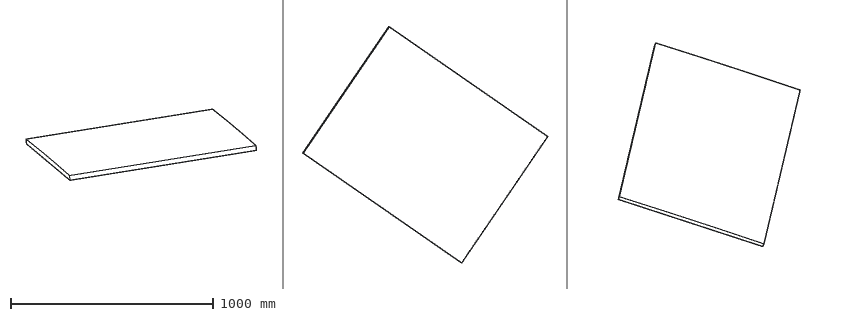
import cadquery as cq
import math

length_y = 965.0
width = 757.0
edge_thickness = 25.0
crown_radius = 20752.0
tilt = 16.06

half_width = width / 2
crown_height = crown_radius - math.sqrt(crown_radius**2 - half_width**2)

panel = (
    cq.Workplane("XZ")
    .moveTo(-half_width, 0)
    .lineTo(half_width, 0)
    .lineTo(half_width, edge_thickness)
    .threePointArc((0, edge_thickness + crown_height), (-half_width, edge_thickness))
    .close()
    .extrude(length_y / 2, both=True)
)

result = panel.rotate((0, 0, 0), (0, 1, 0), -tilt)